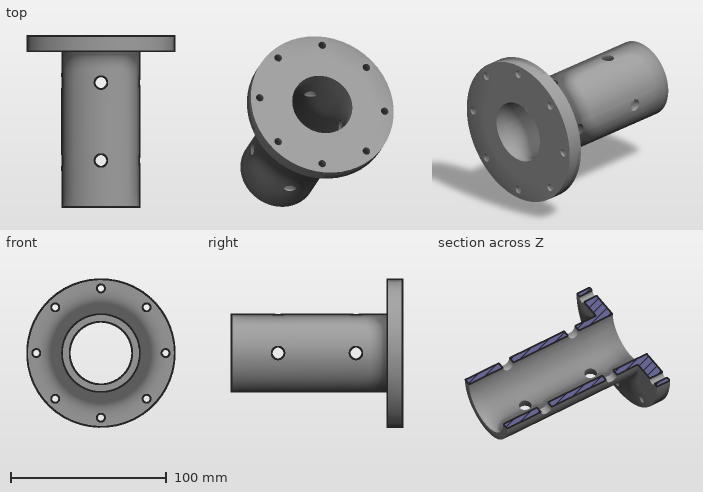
import cadquery as cq

flange_diameter = 95.0
flange_thickness = 10.0
bolt_circle_diameter = 83.0
bolt_hole_diameter = 5.0
bolt_hole_count = 8

tube_outer_diameter = 50.0
bore_diameter = 40.0
tube_length = 100.0
overall_length = tube_length + flange_thickness

cross_hole_diameter = 8.0
first_cross_hole_offset = 20.0
cross_hole_spacing = 50.0
cross_hole_count = 2


def cylinder_along_y(diameter, start_y, length):
    """Cylinder on the Y axis, growing toward +Y from start_y."""
    plane = cq.Plane(origin=(0, start_y, 0), xDir=(1, 0, 0), normal=(0, 1, 0))
    return cq.Workplane(plane).circle(diameter / 2).extrude(length)


def make_body():
    tube = cylinder_along_y(tube_outer_diameter, 0, overall_length)
    flange = cylinder_along_y(flange_diameter, tube_length, flange_thickness)
    bore = cylinder_along_y(bore_diameter, 0, overall_length)
    return tube.union(flange).cut(bore)


def make_bolt_holes():
    plane = cq.Plane(origin=(0, tube_length, 0), xDir=(1, 0, 0), normal=(0, 1, 0))
    return (
        cq.Workplane(plane)
        .polarArray(bolt_circle_diameter / 2, 0, 360, bolt_hole_count)
        .circle(bolt_hole_diameter / 2)
        .extrude(flange_thickness)
    )


def make_cross_holes():
    """Vertical and horizontal drillings at each station along the tube."""
    first_y = tube_length - first_cross_hole_offset
    stations = [first_y - i * cross_hole_spacing for i in range(cross_hole_count)]
    drillings = cq.Workplane("XY")
    for plane_name in ("XY", "YZ"):
        for y in stations:
            drilling = (
                cq.Workplane(plane_name, origin=(0, y, 0))
                .circle(cross_hole_diameter / 2)
                .extrude(tube_outer_diameter / 2, both=True)
            )
            drillings = drillings.add(drilling)
    return drillings.combine()


result = make_body().cut(make_bolt_holes()).cut(make_cross_holes())